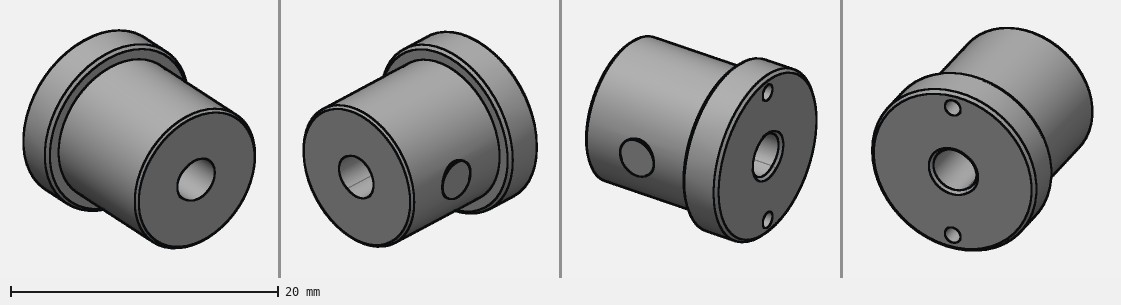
import cadquery as cq

total_length = 12.7
flange_radius = 6.8
flange_length = 3.18
flange_chamfer = 0.27
hub_radius = 5.7
hub_chamfer = 0.22

bore_radius = 1.71
relief_radius = 1.58
relief_offset = 0.26
bore_chamfer = 0.26

spanner_hole_diameter = 1.29
spanner_hole_offset = 5.5
spanner_hole_depth = 2.0

screw_radius = 1.52
screw_protrusion = 0.05
screw_x = 7.92
screw_inner_y = bore_radius
screw_outer_y = hub_radius + screw_protrusion


def x_cylinder(radius, start, end, y=0.0):
    """Cylinder parallel to X, from start to end."""
    return cq.Workplane("YZ", origin=(start, y, 0)).circle(radius).extrude(end - start)


def y_cylinder(radius, start, end, x):
    """Cylinder parallel to Y, from start to end."""
    direction = cq.Vector(0, 1, 0)
    solid = cq.Solid.makeCylinder(radius, end - start, cq.Vector(x, start, 0), direction)
    return cq.Workplane(solid)


def bore_cutter(radius, y):
    """Bore cylinder with a conical lead-in at the flange face."""
    lead_in = cq.Solid.makeCone(
        radius + bore_chamfer, radius, bore_chamfer, cq.Vector(0, y, 0), cq.Vector(1, 0, 0)
    )
    return x_cylinder(radius, 0, total_length, y).union(cq.Workplane(lead_in))


def make_bushing():
    flange = x_cylinder(flange_radius, 0, flange_length).edges().chamfer(flange_chamfer)
    hub = x_cylinder(hub_radius, 0, total_length).faces(">X").edges().chamfer(hub_chamfer)
    body = flange.union(hub)

    body = body.cut(bore_cutter(bore_radius, 0))
    body = body.cut(bore_cutter(relief_radius, -relief_offset))

    spanner_holes = (
        cq.Workplane("YZ")
        .pushPoints([(0, spanner_hole_offset), (0, -spanner_hole_offset)])
        .circle(spanner_hole_diameter / 2)
        .extrude(spanner_hole_depth)
    )
    body = body.cut(spanner_holes)

    return body.cut(y_cylinder(screw_radius, 0, flange_radius, screw_x))


def make_screw():
    """Plain round screw, from the bore wall to just proud of the hub."""
    return y_cylinder(screw_radius, screw_inner_y, screw_outer_y, screw_x)


bushing = make_bushing()
screw = make_screw()

result = cq.Compound.makeCompound([bushing.solids().val(), screw.val()])